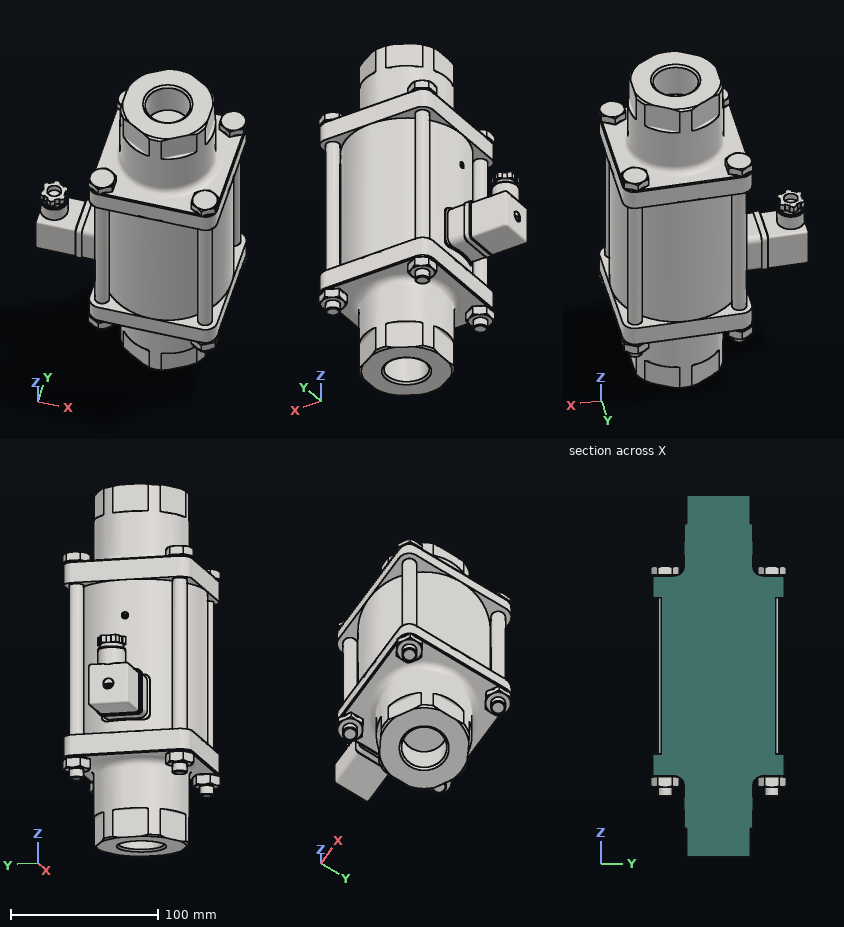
import cadquery as cq
import math

HEX_SIDES = 6
HEX_FLAT_TO_CORNER = math.cos(math.pi / HEX_SIDES)

TOTAL_LENGTH = 246.0
HALF_LENGTH = TOTAL_LENGTH / 2

BODY_DIAMETER = 90.0
BODY_HALF_LENGTH = 53.0

FLANGE_SIDE = BODY_DIAMETER
FLANGE_THICKNESS = 15.0
FLANGE_OUTER_Z = BODY_HALF_LENGTH + FLANGE_THICKNESS
FLANGE_CORNER_RADIUS = 8.3
FLANGE_CHAMFER = 0.8

NECK_DIAMETER = 65.0
NECK_ROOT_FILLET = 6.0
NECK_END_CHAMFER_LENGTH = 1.0
NECK_END_CHAMFER_DEPTH = NECK_END_CHAMFER_LENGTH * math.tan(math.radians(60))
FLATS_ACROSS = 60.0
FLATS_LENGTH = 19.5
FLATS_ROOT_FILLET = 0.8
BORE_DIAMETER = 30.75
BORE_DEPTH = 25.0
BORE_CHAMFER = 1.5

ROD_DIAMETER = 10.0
ROD_OFFSET = 36.25
ROD_END_Z = -82.0
ROD_END_CHAMFER = 0.7
HEX_ACROSS_FLATS = 17.0
HEX_CORNER_DIAMETER = HEX_ACROSS_FLATS / HEX_FLAT_TO_CORNER
WASHER_FACE_DIAMETER = 15.6
WASHER_FACE_HEIGHT = 0.6
HEAD_HEIGHT = 6.0
NUT_HEIGHT = 7.0
HEX_BEVEL_ANGLE = math.radians(30)

VENT_Z = 28.2
VENT_DIAMETER = 4.46
VENT_DEPTH = 1.0
VENT_PILOT_DIAMETER = 2.0
VENT_PILOT_DEPTH = 4.0

PAD_DIAMETER = BODY_DIAMETER + 2.0
PAD_WIDTH = 33.8
PAD_BOTTOM_Z = -44.9
PAD_CORNER_RADIUS = 4.0

CONNECTOR_Z = -28.75
HOUSING_Z = -29.35
BASE_SIDE = 30.6
BASE_CORNER_RADIUS = 5.2
BASE_OUTER_X = -56.5
BASE_INNER_X = -BODY_DIAMETER / 4
GASKET_CORNER_RADIUS = 3.7
GASKET_SIDE = BASE_SIDE + 0.2
GASKET_OUTER_X = -61.2
GASKET_CHAMFER = 0.5
HOUSING_WIDTH = 28.0
HOUSING_HEIGHT = 28.6
HOUSING_OUTER_X = -89.7
HOUSING_FILLET = 1.8
SCREW_HOLE_STEPS = ((7.2, 2.5), (4.46, 3.2), (2.0, 4.0))
BASE_TOP_Z = CONNECTOR_Z + BASE_SIDE / 2

GLAND_X = -80.05
GLAND_DIAMETER = 18.9
GLAND_TOP_Z = -3.3
GLAND_CHAMFER_LENGTH = 0.9
GLAND_CHAMFER_DEPTH = 0.4
GLAND_NECK_DIAMETER = 16.0
CAP_BOTTOM_Z = -0.2
CAP_TOP_Z = 4.7
CAP_ACROSS_FLATS = 17.3
CAP_NOTCH_WIDTH = 3.4
CAP_NOTCH_DEPTH = 1.0
CABLE_HOLE_DIAMETER = 9.5


def cylinder(diameter, z_start, z_end, x=0.0, y=0.0):
    """Cylinder parallel to Z between two heights."""
    profile = cq.Workplane("XY", origin=(x, y, z_start)).circle(diameter / 2)
    return profile.extrude(z_end - z_start)


def hexagon(across_flats, z_start, z_end, x=0.0, y=0.0):
    """Hexagonal prism with two faces square to X."""
    profile = cq.Workplane("XY", origin=(x, y, z_start)).transformed(rotate=(0, 0, 90))
    return profile.polygon(HEX_SIDES, across_flats / HEX_FLAT_TO_CORNER).extrude(z_end - z_start)


def side_block(width, height, z_centre, corner_radius, x_outer, x_inner):
    """Block running along X with rounded long edges."""
    block = cq.Workplane("YZ", origin=(x_outer, 0, z_centre)).rect(width, height)
    return block.extrude(x_inner - x_outer).edges("|X").fillet(corner_radius)


def make_end():
    """Upper end: square flange carrying a round neck with wrench flats and a bore."""
    plate = (
        cq.Workplane("XY", origin=(0, 0, BODY_HALF_LENGTH))
        .rect(FLANGE_SIDE, FLANGE_SIDE)
        .extrude(FLANGE_THICKNESS)
        .edges("|Z").fillet(FLANGE_CORNER_RADIUS)
        .faces(">Z").edges().chamfer(FLANGE_CHAMFER)
    )
    neck_radius = NECK_DIAMETER / 2
    root_arc_offset = NECK_ROOT_FILLET * (1 - math.sqrt(0.5))
    neck = (
        cq.Workplane("XZ")
        .moveTo(0, BODY_HALF_LENGTH)
        .lineTo(neck_radius + NECK_ROOT_FILLET, BODY_HALF_LENGTH)
        .lineTo(neck_radius + NECK_ROOT_FILLET, FLANGE_OUTER_Z)
        .threePointArc(
            (neck_radius + root_arc_offset, FLANGE_OUTER_Z + root_arc_offset),
            (neck_radius, FLANGE_OUTER_Z + NECK_ROOT_FILLET),
        )
        .lineTo(neck_radius, HALF_LENGTH - NECK_END_CHAMFER_LENGTH)
        .lineTo(neck_radius - NECK_END_CHAMFER_DEPTH, HALF_LENGTH)
        .lineTo(0, HALF_LENGTH)
        .close()
        .revolve(360, (0, 0, 0), (0, 1, 0))
    )
    flat_cutter = (
        cq.Workplane("XY", origin=(FLATS_ACROSS / 2, 0, HALF_LENGTH - FLATS_LENGTH))
        .rect(NECK_DIAMETER - FLATS_ACROSS, NECK_DIAMETER)
        .extrude(FLATS_LENGTH)
        .translate(((NECK_DIAMETER - FLATS_ACROSS) / 2, 0, 0))
        .edges("<X and <Z").fillet(FLATS_ROOT_FILLET)
    )
    bore = cylinder(BORE_DIAMETER, HALF_LENGTH - BORE_DEPTH, HALF_LENGTH)
    end = plate.union(neck).cut(bore)
    for index in range(HEX_SIDES):
        end = end.cut(flat_cutter.rotate((0, 0, 0), (0, 0, 1), index * 360 / HEX_SIDES))
    smallest_circle = cq.selectors.RadiusNthSelector(0)
    return end.faces(">Z").edges("%CIRCLE").edges(smallest_circle).chamfer(BORE_CHAMFER)


def bevelled_hex(z_inner, z_outer, x, y):
    """Bolt head or nut whose corners are bevelled on the outer end."""
    prism = hexagon(HEX_ACROSS_FLATS, min(z_inner, z_outer), max(z_inner, z_outer), x, y)
    outward = math.copysign(1, z_outer - z_inner)
    corner_radius = HEX_CORNER_DIAMETER / 2
    face_radius = HEX_ACROSS_FLATS / 2
    bevel_height = (corner_radius - face_radius) * math.tan(HEX_BEVEL_ANGLE)
    envelope = (
        cq.Workplane("XZ", origin=(x, y, 0))
        .moveTo(0, z_inner)
        .lineTo(corner_radius, z_inner)
        .lineTo(corner_radius, z_outer - outward * bevel_height)
        .lineTo(face_radius, z_outer)
        .lineTo(0, z_outer)
        .close()
        .revolve(360, (0, 0, 0), (0, 1, 0))
    )
    return prism.intersect(envelope)


def make_tie_rod(x, y):
    """One rod with its hexagon head, nut and washer faces."""
    seat = FLANGE_OUTER_Z + WASHER_FACE_HEIGHT
    rod = cylinder(ROD_DIAMETER, ROD_END_Z, FLANGE_OUTER_Z, x, y)
    rod = rod.faces("<Z").edges().chamfer(ROD_END_CHAMFER)
    head = bevelled_hex(seat, seat + HEAD_HEIGHT, x, y)
    nut = bevelled_hex(-seat, -seat - NUT_HEIGHT, x, y)
    upper_washer = cylinder(WASHER_FACE_DIAMETER, FLANGE_OUTER_Z, seat, x, y)
    lower_washer = cylinder(WASHER_FACE_DIAMETER, -seat, -FLANGE_OUTER_Z, x, y)
    return rod.union(head).union(nut).union(upper_washer).union(lower_washer)


def side_hole(diameter, x_surface, depth, z):
    """Cutter for a hole drilled along +X from a surface on the -X side."""
    profile = cq.Workplane("YZ", origin=(x_surface, 0, z)).circle(diameter / 2)
    return profile.extrude(depth)


def make_body():
    """Coil cylinder with its stepped hole."""
    body = cylinder(BODY_DIAMETER, -BODY_HALF_LENGTH, BODY_HALF_LENGTH)
    surface = -BODY_DIAMETER / 2
    body = body.cut(side_hole(VENT_DIAMETER, surface, VENT_DEPTH, VENT_Z))
    return body.cut(side_hole(VENT_PILOT_DIAMETER, surface, VENT_PILOT_DEPTH, VENT_Z))


def make_pad():
    """Raised pad that follows the body and carries the connector base."""
    height = BASE_TOP_Z - PAD_BOTTOM_Z
    outline = (
        cq.Workplane("YZ", origin=(-PAD_DIAMETER / 2, 0, PAD_BOTTOM_Z + height / 2))
        .rect(PAD_WIDTH, height)
        .extrude(PAD_DIAMETER / 4)
        .edges("|X").fillet(PAD_CORNER_RADIUS)
    )
    return outline.intersect(cylinder(PAD_DIAMETER, PAD_BOTTOM_Z, BASE_TOP_Z))


def make_connector():
    """Connector base, gasket and housing with its screw hole."""
    base = side_block(BASE_SIDE, BASE_SIDE, CONNECTOR_Z, BASE_CORNER_RADIUS, BASE_OUTER_X, BASE_INNER_X)
    gasket = side_block(
        GASKET_SIDE, GASKET_SIDE, CONNECTOR_Z, GASKET_CORNER_RADIUS, GASKET_OUTER_X, BASE_OUTER_X
    )
    gasket = gasket.faces("<X").edges().chamfer(GASKET_CHAMFER)
    housing = side_block(
        HOUSING_WIDTH, HOUSING_HEIGHT, HOUSING_Z, HOUSING_FILLET, HOUSING_OUTER_X, GASKET_OUTER_X
    )
    housing = housing.faces("<X").edges().fillet(HOUSING_FILLET)
    for diameter, depth in SCREW_HOLE_STEPS:
        housing = housing.cut(side_hole(diameter, HOUSING_OUTER_X, depth, HOUSING_Z))
    return base.union(gasket).union(housing)


def make_gland():
    """Cable gland with a notched hexagonal cap and a blind cable hole."""
    sleeve = cylinder(GLAND_DIAMETER, HOUSING_Z, GLAND_TOP_Z, GLAND_X)
    sleeve = sleeve.faces(">Z").edges().chamfer(GLAND_CHAMFER_LENGTH, GLAND_CHAMFER_DEPTH)
    neck = cylinder(GLAND_NECK_DIAMETER, GLAND_TOP_Z, CAP_BOTTOM_Z, GLAND_X)
    cap = hexagon(CAP_ACROSS_FLATS, CAP_BOTTOM_Z, CAP_TOP_Z, GLAND_X)
    notches = (
        cq.Workplane("XY", origin=(GLAND_X, 0, CAP_BOTTOM_Z))
        .polarArray(CAP_ACROSS_FLATS / 2, 0, 360, HEX_SIDES)
        .rect(2 * CAP_NOTCH_DEPTH, CAP_NOTCH_WIDTH)
        .extrude(CAP_TOP_Z - CAP_BOTTOM_Z)
    )
    cable_hole = cylinder(CABLE_HOLE_DIAMETER, CAP_BOTTOM_Z, CAP_TOP_Z, GLAND_X)
    return sleeve.union(neck).union(cap.cut(notches)).cut(cable_hole)


upper_end = make_end()
result = make_body().union(upper_end).union(upper_end.mirror("XY"))
for x_sign in (-1, 1):
    for y_sign in (-1, 1):
        result = result.union(make_tie_rod(x_sign * ROD_OFFSET, y_sign * ROD_OFFSET))
result = result.union(make_pad()).union(make_connector()).union(make_gland())